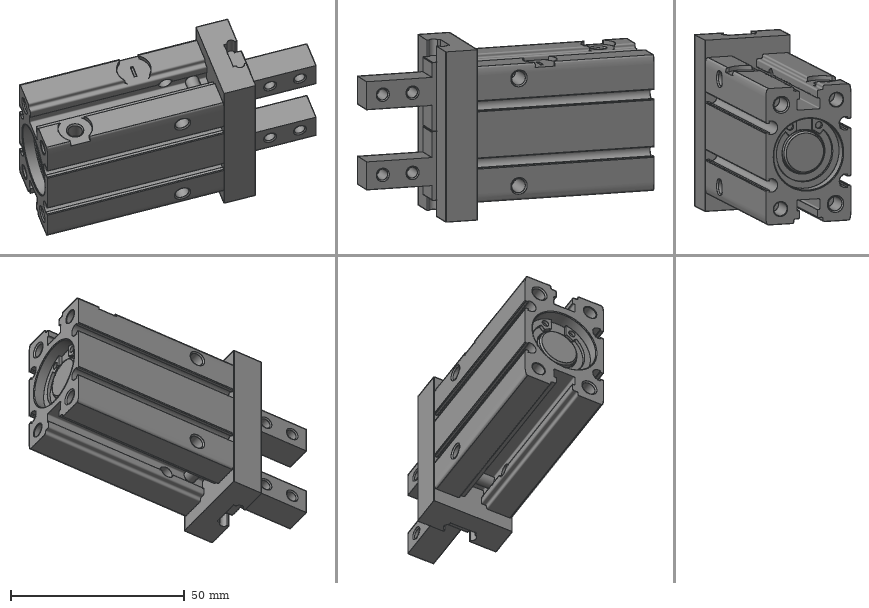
import cadquery as cq
WIDTH = 26.0
TOTAL_LENGTH = 84.4
PLATE_HEIGHT = 50.2
HOUSING_HEIGHT = 40.0
HOUSING_LENGTH = 53.6
PLATE_THICKNESS = 9.6
PLATE_FRONT = HOUSING_LENGTH + PLATE_THICKNESS
HALF_WIDTH = WIDTH / 2
HALF_HEIGHT = HOUSING_HEIGHT / 2
BOTH_SIDES = (-1, 1)

SIDE_FLAT_TOP = 17.5
CORNER_INSET = 0.25
CORNER_RADIUS = 0.6

SLOT_FLOOR = 13.2
SLOT_SHOULDER = 16.4
SLOT_STEP = 18.7
SLOT_HALF_WIDTH = 3.5
SLOT_NECK_HALF_WIDTH = 2.7
SLOT_MOUTH_HALF_WIDTH = 4.5
SLOT_CORNER_RADIUS = 0.3
SLOT_MOUTH_RADIUS = 0.5

GROOVE_DIAMETER = 4.0
GROOVE_X = 11.4
GROOVE_Z = 8.4
GROOVE_LIP_X = 11.9
GROOVE_MOUTH = 2.8
GROOVE_MOUTH_CHAMFER = 0.25

THREAD_DIAMETER = 4.1
THREAD_CHAMFER = 0.4
CROSS_HOLE_Y = 41.0
CROSS_HOLE_Z = 15.9
REAR_HOLE_DEPTH = 7.6
REAR_THREAD_X = 8.3
REAR_THREAD_Z = 15.0
REAR_PLAIN_DIAMETER = 4.05
REAR_PLAIN_CHAMFER = 0.2
REAR_PLAIN_X = 8.5
REAR_PLAIN_Z = 15.5

PIN_DIAMETER = 4.0
PIN_Y = 49.2
PIN_Z = 13.5

PORT_X = 7.8
SCREW_Y = 33.0
PORT_Y = 10.1
SPOT_FACE_DIAMETER = 10.0
SPOT_FACE_OUTLET = 5.9
PORT_DEPTH = 5.1
SCREW_DIAMETER = 5.0
SCREW_DEPTH = 1.7
DRIVER_SLOT_LENGTH = 3.8
DRIVER_SLOT_WIDTH = 0.8
DRIVER_SLOT_DEPTH = 0.5

BORE_DIAMETER = 21.0
BORE_CHAMFER = 0.25
BORE_DEPTH = 4.4
RING_FACE_DEPTH = 3.4
RING_INNER_RADIUS = 8.6
RING_GAP = 4.9
LUG_X = 4.4
LUG_Z = 7.8
LUG_HOLE_DIAMETER = 2.0
LUG_WEDGE_SLOPE = 1.1
LUG_INNER_RADIUS = 6.9
CAP_DIAMETER = 12.4
CAP_FACE_DEPTH = 3.1
CAP_CHAMFER = 0.5
CAP_GAP_DIAMETER = 13.1
CAP_GAP_DEPTH = 0.85
CAP_FOOT = BORE_DEPTH + CAP_GAP_DEPTH

PLATE_CHAMFER = 0.2
TRACK_WIDTH = 8.5
TRACK_FLOOR = 59.25
RAIL_X = 4.05
RAIL_Y = 61.4
RAIL_GROOVE_DIAMETER = 2.5
RAIL_DIAMETER = 2.3

FINGER_GAP = 0.2
CARRIAGE_TOP = 20.3
CARRIAGE_FRONT = 64.6
CARRIAGE_CHAMFER = 0.2
ARM_HEIGHT = 8.3
ARM_Z = 11.8
FINGER_HOLE_DIAMETER = 3.2
FINGER_HOLE_CHAMFER = 0.38
FINGER_HOLE_YS = (70.5, 79.5)


def block(x_range, y_range, z_range):
    """Axis-aligned block between the given limits."""
    size = [high - low for low, high in (x_range, y_range, z_range)]
    corner = (x_range[0], y_range[0], z_range[0])
    return cq.Workplane("XY").box(*size, centered=False).translate(corner)


def rod(diameter, start, direction, length):
    """Cylinder that runs from a start point along a direction."""
    return cq.Workplane(
        cq.Solid.makeCylinder(diameter / 2, length, cq.Vector(*start), cq.Vector(*direction))
    )


def countersink(diameter, depth, start, direction):
    """Cone that widens a hole of the given diameter by the depth on each side at its mouth."""
    radius = diameter / 2
    return cq.Workplane(
        cq.Solid.makeCone(radius + depth, radius, depth, cq.Vector(*start), cq.Vector(*direction))
    )


def through_hole(diameter, chamfer, half_length, y, z):
    """Hole cutter along X, chamfered at both ends."""
    hole = rod(diameter, (-half_length, y, z), (1, 0, 0), 2 * half_length)
    for side in BOTH_SIDES:
        hole = hole.union(countersink(diameter, chamfer, (side * half_length, y, z), (-side, 0, 0)))
    return hole


def blind_hole(diameter, chamfer, depth, start, direction):
    """Flat-bottomed hole cutter with a chamfered mouth."""
    return rod(diameter, start, direction, depth).union(countersink(diameter, chamfer, start, direction))


def housing_blank():
    inset_x = HALF_WIDTH - CORNER_INSET
    curve_end = HALF_HEIGHT - CORNER_RADIUS
    quarter = (
        cq.Workplane("XZ")
        .moveTo(0, 0)
        .lineTo(HALF_WIDTH, 0)
        .lineTo(HALF_WIDTH, SIDE_FLAT_TOP)
        .tangentArcPoint((inset_x, curve_end), relative=False)
        .tangentArcPoint((inset_x - CORNER_RADIUS, HALF_HEIGHT), relative=False)
        .lineTo(0, HALF_HEIGHT)
        .close()
        .extrude(-HOUSING_LENGTH)
    )
    half = quarter.union(quarter.mirror("YZ"))
    return half.union(half.mirror("XY"))


def t_slot():
    """T-slot cutter for the top of the housing, with a rounded stepped mouth."""
    half = (
        cq.Workplane("XZ")
        .moveTo(0, SLOT_FLOOR)
        .lineTo(SLOT_HALF_WIDTH - SLOT_CORNER_RADIUS, SLOT_FLOOR)
        .tangentArcPoint((SLOT_CORNER_RADIUS, SLOT_CORNER_RADIUS))
        .lineTo(SLOT_HALF_WIDTH, SLOT_SHOULDER - SLOT_CORNER_RADIUS)
        .tangentArcPoint((-SLOT_CORNER_RADIUS, SLOT_CORNER_RADIUS))
        .lineTo(SLOT_NECK_HALF_WIDTH, SLOT_SHOULDER)
        .lineTo(SLOT_NECK_HALF_WIDTH, SLOT_STEP - SLOT_MOUTH_RADIUS)
        .tangentArcPoint((SLOT_MOUTH_RADIUS, SLOT_MOUTH_RADIUS))
        .lineTo(SLOT_MOUTH_HALF_WIDTH - SLOT_MOUTH_RADIUS, SLOT_STEP)
        .tangentArcPoint((SLOT_MOUTH_RADIUS, SLOT_MOUTH_RADIUS))
        .lineTo(SLOT_MOUTH_HALF_WIDTH, HALF_HEIGHT - SLOT_MOUTH_RADIUS)
        .tangentArcPoint((SLOT_MOUTH_RADIUS, SLOT_MOUTH_RADIUS))
        .lineTo(0, HALF_HEIGHT)
        .close()
        .extrude(-HOUSING_LENGTH)
    )
    return half.union(half.mirror("YZ"))


def side_groove():
    """Sensor groove cutter for the +X side above the middle."""
    circle = rod(GROOVE_DIAMETER, (GROOVE_X, 0, GROOVE_Z), (0, 1, 0), HOUSING_LENGTH)
    radius = GROOVE_DIAMETER / 2
    lip = block((GROOVE_LIP_X, HALF_WIDTH), (0, HOUSING_LENGTH), (GROOVE_Z - radius, GROOVE_Z + radius))
    half_mouth = GROOVE_MOUTH / 2
    mouth = (
        cq.Workplane("XZ")
        .moveTo(GROOVE_X, GROOVE_Z - half_mouth)
        .lineTo(HALF_WIDTH - GROOVE_MOUTH_CHAMFER, GROOVE_Z - half_mouth)
        .lineTo(HALF_WIDTH, GROOVE_Z - half_mouth - GROOVE_MOUTH_CHAMFER)
        .lineTo(HALF_WIDTH, GROOVE_Z + half_mouth + GROOVE_MOUTH_CHAMFER)
        .lineTo(HALF_WIDTH - GROOVE_MOUTH_CHAMFER, GROOVE_Z + half_mouth)
        .lineTo(GROOVE_X, GROOVE_Z + half_mouth)
        .close()
        .extrude(-HOUSING_LENGTH)
    )
    return circle.cut(lip).union(mouth)


def spot_face(side, y):
    """Round recess at a port, opened to the nearer side of the housing."""
    disc = rod(SPOT_FACE_DIAMETER, (side * PORT_X, y, SLOT_STEP), (0, 0, 1), HALF_HEIGHT - SLOT_STEP)
    half_outlet = SPOT_FACE_OUTLET / 2
    x_range = sorted((side * PORT_X, side * HALF_WIDTH))
    return disc.union(block(x_range, (y - half_outlet, y + half_outlet), (SLOT_STEP, HALF_HEIGHT)))


def rear_bore():
    """Rear bore cutter, leaving the retaining ring and the chamfered cap standing."""
    bore = blind_hole(BORE_DIAMETER, BORE_CHAMFER, BORE_DEPTH, (0, 0, 0), (0, 1, 0))
    bore = bore.cut(retaining_ring())
    bore = bore.union(rod(CAP_GAP_DIAMETER, (0, CAP_FACE_DEPTH, 0), (0, 1, 0), CAP_FOOT - CAP_FACE_DEPTH))
    return bore.cut(cap())


def retaining_ring():
    thickness = BORE_DEPTH - RING_FACE_DEPTH
    start = (0, RING_FACE_DEPTH, 0)
    disc = rod(BORE_DIAMETER, start, (0, 1, 0), thickness)
    inner = rod(2 * RING_INNER_RADIUS, start, (0, 1, 0), thickness)
    wedge_top = LUG_WEDGE_SLOPE * HALF_WIDTH
    lug_wedge = (
        cq.Workplane("XZ", origin=start)
        .polyline([(0, 0), (HALF_WIDTH, wedge_top), (-HALF_WIDTH, wedge_top)])
        .close()
        .extrude(-thickness)
    )
    lug_clearance = rod(2 * LUG_INNER_RADIUS, start, (0, 1, 0), thickness)
    ring = disc.cut(inner.cut(lug_wedge)).cut(lug_clearance)
    half_gap = RING_GAP / 2
    ring = ring.cut(block((-half_gap, half_gap), (RING_FACE_DEPTH, BORE_DEPTH), (0, BORE_DIAMETER / 2)))
    for side in BOTH_SIDES:
        lug_hole_start = (side * LUG_X, RING_FACE_DEPTH, LUG_Z)
        ring = ring.cut(rod(LUG_HOLE_DIAMETER, lug_hole_start, (0, 1, 0), thickness))
    return ring


def cap():
    body = rod(CAP_DIAMETER, (0, CAP_FACE_DEPTH, 0), (0, 1, 0), CAP_FOOT - CAP_FACE_DEPTH)
    return body.faces("<Y").chamfer(CAP_CHAMFER)


def slotted_screw():
    screw = rod(SCREW_DIAMETER, (-PORT_X, SCREW_Y, SLOT_STEP - SCREW_DEPTH), (0, 0, 1), SCREW_DEPTH)
    half_length = DRIVER_SLOT_LENGTH / 2
    half_width = DRIVER_SLOT_WIDTH / 2
    driver_slot = block(
        (-PORT_X - half_length, -PORT_X + half_length),
        (SCREW_Y - half_width, SCREW_Y + half_width),
        (SLOT_STEP - DRIVER_SLOT_DEPTH, SLOT_STEP),
    )
    return screw.cut(driver_slot)


def make_housing():
    housing = housing_blank()
    housing = housing.cut(t_slot()).cut(t_slot().mirror("XY"))
    for side in BOTH_SIDES:
        groove = side_groove() if side > 0 else side_groove().mirror("YZ")
        housing = housing.cut(groove).cut(groove.mirror("XY"))

    for side in BOTH_SIDES:
        z = side * CROSS_HOLE_Z
        housing = housing.cut(through_hole(THREAD_DIAMETER, THREAD_CHAMFER, HALF_WIDTH, CROSS_HOLE_Y, z))

    for side in BOTH_SIDES:
        thread_start = (-side * REAR_THREAD_X, 0, side * REAR_THREAD_Z)
        plain_start = (side * REAR_PLAIN_X, 0, side * REAR_PLAIN_Z)
        rear_axis = (0, 1, 0)
        housing = housing.cut(
            blind_hole(THREAD_DIAMETER, THREAD_CHAMFER, REAR_HOLE_DEPTH, thread_start, rear_axis)
        )
        housing = housing.cut(
            blind_hole(REAR_PLAIN_DIAMETER, REAR_PLAIN_CHAMFER, REAR_HOLE_DEPTH, plain_start, rear_axis)
        )

    housing = housing.cut(rear_bore())
    housing = housing.cut(spot_face(-1, SCREW_Y)).cut(spot_face(1, PORT_Y))
    port_start = (PORT_X, PORT_Y, SLOT_STEP)
    housing = housing.cut(blind_hole(THREAD_DIAMETER, THREAD_CHAMFER, PORT_DEPTH, port_start, (0, 0, -1)))

    screw_seat = rod(SCREW_DIAMETER, (-PORT_X, SCREW_Y, SLOT_STEP), (0, 0, -1), SCREW_DEPTH)
    housing = housing.cut(screw_seat).union(slotted_screw(), clean=False)
    for side in BOTH_SIDES:
        pin = rod(PIN_DIAMETER, (side * HALF_WIDTH, PIN_Y, side * PIN_Z), (-side, 0, 0), WIDTH)
        housing = housing.cut(pin, clean=False).union(pin, clean=False)
    return housing


def make_guide_plate():
    half_plate = PLATE_HEIGHT / 2
    half_track = TRACK_WIDTH / 2
    plate = block((-HALF_WIDTH, HALF_WIDTH), (HOUSING_LENGTH, PLATE_FRONT), (-half_plate, half_plate))
    plate = plate.edges("|Z").chamfer(PLATE_CHAMFER)
    plate = plate.cut(
        block((-half_track, half_track), (TRACK_FLOOR, PLATE_FRONT), (-half_plate, half_plate))
    )
    for side in BOTH_SIDES:
        start = (side * RAIL_X, RAIL_Y, -half_plate)
        plate = plate.cut(rod(RAIL_GROOVE_DIAMETER, start, (0, 0, 1), PLATE_HEIGHT))
    return plate


def make_finger(side):
    """Finger above (side = 1) or below (side = -1) the middle."""
    half_track = TRACK_WIDTH / 2
    x_range = (-half_track, half_track)
    inner_end = FINGER_GAP / 2
    half_arm = ARM_HEIGHT / 2
    finger = block(x_range, (TRACK_FLOOR, CARRIAGE_FRONT), (inner_end, CARRIAGE_TOP))
    finger = finger.edges("|X and >Y").chamfer(CARRIAGE_CHAMFER)
    for edge in BOTH_SIDES:
        rail_start = (edge * RAIL_X, RAIL_Y, inner_end)
        rail = rod(RAIL_DIAMETER, rail_start, (0, 0, 1), CARRIAGE_TOP - inner_end)
        finger = finger.union(rail)
    arm = block(x_range, (TRACK_FLOOR, TOTAL_LENGTH), (ARM_Z - half_arm, ARM_Z + half_arm))
    finger = finger.union(arm)
    for y in FINGER_HOLE_YS:
        finger = finger.cut(
            through_hole(FINGER_HOLE_DIAMETER, FINGER_HOLE_CHAMFER, half_track, y, ARM_Z)
        )
    return finger if side > 0 else finger.mirror("XY")


housing = make_housing()
guide_plate = make_guide_plate()
fingers = [make_finger(side) for side in BOTH_SIDES]

result = cq.Compound.makeCompound(
    [housing.val(), guide_plate.val(), *[finger.val() for finger in fingers]]
)